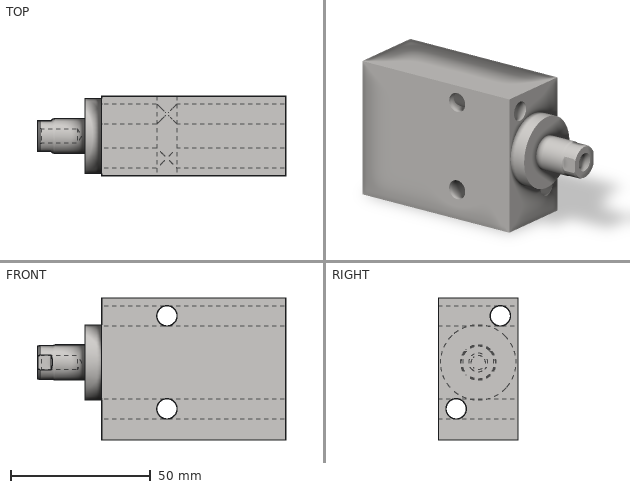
import cadquery as cq
import math

total_length = 88.7
block_length = 65.8
block_width = 28.6
block_height = 50.8
block_front = total_length - block_length

axis_to_top = 23.1
block_center_z = axis_to_top - block_height / 2

hole_diameter = 7.2
hole_top_margin = 6.4
hole_spacing = 33.3
upper_hole_z = axis_to_top - hole_top_margin
lower_hole_z = upper_hole_z - hole_spacing
long_hole_offset_y = 7.9
cross_hole_setback = 23.3

flange_diameter = 27.0
flange_thickness = 6.0
shaft_radius = 12.7 / 2
tip_radius = 12.2 / 2
tip_length = 5.5
shoulder_length = 0.8
tip_chamfer_length = 0.8
tip_chamfer_depth = 0.3

flat_width = 11.0
flat_length = 4.7

bore_radius = 5.1 / 2
bore_mouth_radius = 6.7 / 2
bore_neck_radius = 5.9 / 2
bore_neck_depth = 0.5
bore_entry_depth = 1.4
bore_depth = 14.2
drill_point_angle = 118.0


def make_block():
    return cq.Workplane("XY").box(
        block_length, block_width, block_height, centered=(False, True, True)
    ).translate((block_front, 0, block_center_z))


def make_flange():
    return (
        cq.Workplane("YZ", origin=(block_front - flange_thickness, 0, 0))
        .circle(flange_diameter / 2)
        .extrude(flange_thickness)
    )


def revolve_about_shaft_axis(points):
    return cq.Workplane("XY").polyline(points).close().revolve(360, (0, 0, 0), (1, 0, 0))


def make_shaft():
    return revolve_about_shaft_axis([
        (0, 0),
        (0, tip_radius - tip_chamfer_depth),
        (tip_chamfer_length, tip_radius),
        (tip_length, tip_radius),
        (tip_length + shoulder_length, shaft_radius),
        (block_front, shaft_radius),
        (block_front, 0),
    ])


def make_flat_cutter(side):
    """Wedge that cuts one wrench flat with a 45 degree run-out."""
    flat_y = flat_width / 2
    outer_y = shaft_radius
    ramp_end = flat_length + outer_y - flat_y
    return (
        cq.Workplane("XY")
        .polyline([
            (0, side * flat_y),
            (flat_length, side * flat_y),
            (ramp_end, side * outer_y),
            (0, side * outer_y),
        ])
        .close()
        .extrude(shaft_radius, both=True)
    )


def make_bore():
    """Drilled hole with a two-stage tapered entry and a conical bottom."""
    point_length = bore_radius / math.tan(math.radians(drill_point_angle / 2))
    return revolve_about_shaft_axis([
        (0, 0),
        (0, bore_mouth_radius),
        (bore_neck_depth, bore_neck_radius),
        (bore_entry_depth, bore_radius),
        (bore_depth, bore_radius),
        (bore_depth + point_length, 0),
    ])


def make_long_hole(y, z):
    return (
        cq.Workplane("YZ", origin=(block_front, y, z))
        .circle(hole_diameter / 2)
        .extrude(block_length)
    )


def make_cross_hole(z):
    return (
        cq.Workplane("XZ", origin=(block_front + cross_hole_setback, 0, z))
        .circle(hole_diameter / 2)
        .extrude(block_width / 2, both=True)
    )


shaft = make_shaft().cut(make_bore())
for side in (-1, 1):
    shaft = shaft.cut(make_flat_cutter(side))

block = make_block()
for y, z in ((long_hole_offset_y, upper_hole_z), (-long_hole_offset_y, lower_hole_z)):
    block = block.cut(make_long_hole(y, z)).cut(make_cross_hole(z))

result = block.union(make_flange()).union(shaft)